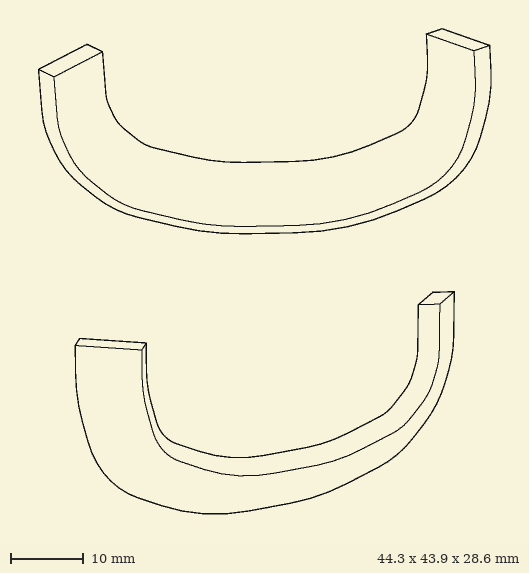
import cadquery as cq
import math

strip_width = 9.35
strip_thickness = 3.05

plane_azimuth = 44.8
plane_lean = 5.0
start_heading = -87.5

gentle_radius = 16.1
tight_radius = 5.65
bottom_radius = 25.6

bends = [
    (3.85, 16.7, gentle_radius),
    (2.95, 50.0, tight_radius),
    (4.07, 24.4, bottom_radius),
    (6.85, 15.8, bottom_radius),
    (5.35, 27.0, tight_radius),
    (2.45, 25.8, tight_radius),
    (1.6, 18.7, tight_radius),
]
last_straight = 6.4


def bending_plane():
    """Plane whose local x is horizontal and whose local y leans off vertical."""
    azimuth = math.radians(plane_azimuth)
    lean = math.radians(plane_lean)
    horizontal = (math.cos(azimuth), math.sin(azimuth), 0)
    normal = (
        math.sin(azimuth) * math.cos(lean),
        -math.cos(azimuth) * math.cos(lean),
        -math.sin(lean),
    )
    return cq.Plane(origin=(0, 0, 0), xDir=horizontal, normal=normal)


def ahead(point, heading, distance):
    """Point reached from `point` by moving `distance` along `heading` (degrees)."""
    angle = math.radians(heading)
    return (
        point[0] + distance * math.cos(angle),
        point[1] + distance * math.sin(angle),
    )


def strip_path():
    """Path of the strip's inner edge: straights joined by tangent clockwise arcs."""
    path = cq.Workplane(bending_plane())
    path = path.moveTo(0, 0)
    point = (0, 0)
    heading = start_heading
    for straight, turn, radius in bends:
        point = ahead(point, heading, straight)
        path = path.lineTo(*point)
        chord = 2 * radius * math.sin(math.radians(turn / 2))
        point = ahead(point, heading - turn / 2, chord)
        path = path.tangentArcPoint(point, relative=False)
        heading -= turn
    point = ahead(point, heading, last_straight)
    return path.lineTo(*point)


end_face = cq.Workplane("XY").rect(strip_width, strip_thickness, centered=False)
result = end_face.sweep(strip_path())